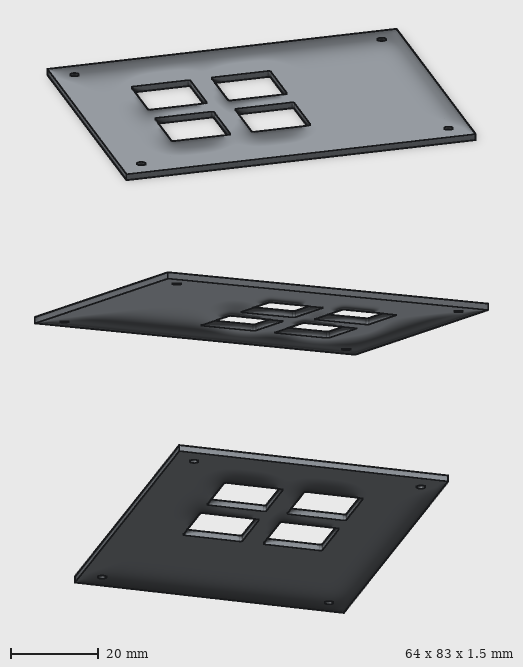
import cadquery as cq

plate_width = 64.0
plate_length = 83.0
plate_thickness = 1.5

mount_hole_diameter = 2.0
mount_hole_edge_distance = 5.0

key_opening_size = 14.0
key_corner_radius = 0.5
key_pitch = 19.05
key_columns = 2
key_rows = 2
key_grid_center_x = -0.1
key_grid_center_y = -9.6


def make_plate():
    """Flat rectangular plate centred on the origin."""
    return cq.Workplane("XY").box(plate_width, plate_length, plate_thickness)


def make_mount_holes():
    """Cutters for the four round corner holes."""
    spacing_x = plate_width - 2 * mount_hole_edge_distance
    spacing_y = plate_length - 2 * mount_hole_edge_distance
    return (
        cq.Workplane("XY")
        .rarray(spacing_x, spacing_y, 2, 2)
        .circle(mount_hole_diameter / 2)
        .extrude(plate_thickness, both=True)
    )


def make_key_openings():
    """Cutters for the grid of square openings with rounded corners."""
    return (
        cq.Workplane("XY")
        .center(key_grid_center_x, key_grid_center_y)
        .rarray(key_pitch, key_pitch, key_columns, key_rows)
        .rect(key_opening_size, key_opening_size)
        .extrude(plate_thickness, both=True)
        .edges("|Z")
        .fillet(key_corner_radius)
    )


result = make_plate().cut(make_mount_holes()).cut(make_key_openings())